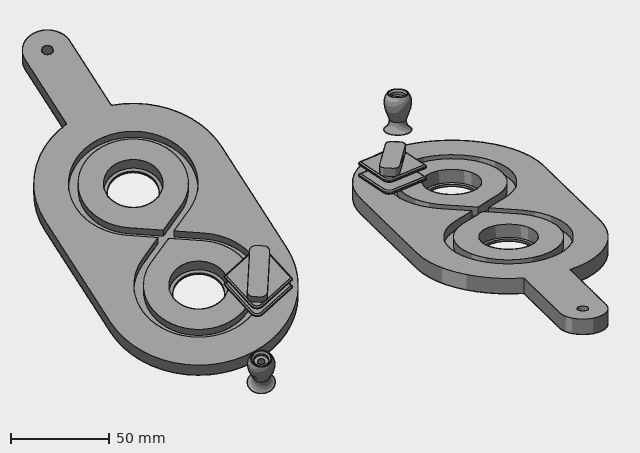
import cadquery as cq
import math

board_width = 101.5
board_thickness = 8.7
loop_spacing = 72.5
loop_x = loop_spacing / 2
handle_width = 25.7
handle_hole_x = -131.2
handle_hole_diameter = 6.0

upper_hole_diameter = 30.3
lower_hole_diameter = 26.5
ledge_thickness = 1.3

groove_radius = 30.5
groove_width = 5.0
groove_depth = 5.1

spool_x = 51.3
spool_y = 26.5
spool_angle = -30
plate_half_length = 19.3
plate_half_width = 17.5
plate_tip_radius = 3.9
plate_thickness = 2.3
plate_bevel = 0.8
plate_gap = 4.4
post_diameter = 8.0
upper_plate_z = plate_thickness + plate_gap
spool_height = upper_plate_z + plate_thickness

bar_length = 32.3
bar_width = 10.3
bar_height = 4.5
bar_corner_radius = 3.3
bar_hole_diameter = 2.3
bar_hole_mouth_diameter = 3.5
bar_hole_mouth_depth = (bar_hole_mouth_diameter - bar_hole_diameter) / 2

knob_x = 105.5
knob_height = 20.3
foot_diameter = 14.5
foot_waist_diameter = 10.3
foot_waist_z = 2.3
neck_diameter = 8.7
neck_z = 5.1
neck_height = 0.8
shoulder_diameter = 11.3
shoulder_z = 9.2
belly_diameter = 14.0
belly_z = 16.0
knob_top_diameter = 10.8
knob_mouth_diameter = 9.8
knob_mouth_depth = 1.0
knob_recess_diameter = 7.7
knob_recess_depth = 2.5
knob_bore_diameter = 3.9


def cylinders(points, diameter, start_z):
    """Cylinders at the points, from start_z up to the top of the board."""
    plane = cq.Workplane("XY").workplane(offset=start_z)
    return plane.pushPoints(points).circle(diameter / 2).extrude(board_thickness - start_z)


def teardrop(side, radius):
    """Groove-deep teardrop round one loop centre: an arc and the two tangents that meet on the X axis."""
    center_x = side * loop_x
    tip_x = center_x - center_x * radius / groove_radius
    tangent_angle = math.acos(groove_radius / loop_x)
    tangent_x = center_x - side * radius * math.cos(tangent_angle)
    tangent_y = radius * math.sin(tangent_angle)
    return (
        cq.Workplane("XY")
        .workplane(offset=board_thickness - groove_depth)
        .moveTo(tip_x, 0)
        .lineTo(tangent_x, tangent_y)
        .threePointArc((center_x + side * radius, 0), (tangent_x, -tangent_y))
        .close()
        .extrude(groove_depth)
    )


def make_groove():
    """Figure-eight groove: two crossing teardrops around two smaller islands."""
    outer_radius = groove_radius + groove_width / 2
    island_radius = groove_radius - groove_width / 2
    groove = teardrop(-1, outer_radius).union(teardrop(1, outer_radius))
    for side in (-1, 1):
        groove = groove.cut(teardrop(side, island_radius))
    return groove


def make_board():
    body = cq.Workplane("XY").slot2D(loop_spacing + board_width, board_width).extrude(board_thickness)
    handle = (
        cq.Workplane("XY")
        .center(handle_hole_x / 2, 0)
        .slot2D(abs(handle_hole_x) + handle_width, handle_width)
        .extrude(board_thickness)
    )
    loop_centers = [(-loop_x, 0), (loop_x, 0)]
    return (
        body.union(handle)
        .cut(make_groove())
        .cut(cylinders(loop_centers, lower_hole_diameter, 0))
        .cut(cylinders(loop_centers, upper_hole_diameter, ledge_thickness))
        .cut(cylinders([(handle_hole_x, 0)], handle_hole_diameter, 0))
    )


def make_plate(base_z):
    """Diamond plate whose straight edges run from the side corners, tangent to the tip arcs."""
    tip_center = plate_half_length - plate_tip_radius
    corner_to_center = math.hypot(tip_center, plate_half_width)
    normal_angle = math.atan2(tip_center, plate_half_width) + math.asin(plate_tip_radius / corner_to_center)
    tangent_x = tip_center + plate_tip_radius * math.cos(normal_angle)
    tangent_y = plate_tip_radius * math.sin(normal_angle)
    return (
        cq.Workplane("XY")
        .workplane(offset=base_z)
        .moveTo(0, plate_half_width)
        .lineTo(tangent_x, tangent_y)
        .threePointArc((plate_half_length, 0), (tangent_x, -tangent_y))
        .lineTo(0, -plate_half_width)
        .lineTo(-tangent_x, -tangent_y)
        .threePointArc((-plate_half_length, 0), (-tangent_x, tangent_y))
        .close()
        .extrude(plate_thickness)
        .faces("<Z or >Z")
        .edges()
        .chamfer(plate_bevel)
    )


def place_on_board(body):
    """Turn a body modelled about the origin and set it on the board at the spool's position."""
    turned = body.rotate((0, 0, 0), (0, 0, 1), spool_angle)
    return turned.translate((spool_x, spool_y, board_thickness))


def make_spool():
    post = cq.Workplane("XY").circle(post_diameter / 2).extrude(spool_height)
    return place_on_board(post.union(make_plate(0)).union(make_plate(upper_plate_z)))


def make_bar():
    block = (
        cq.Workplane("XY")
        .workplane(offset=spool_height)
        .rect(bar_length, bar_width)
        .extrude(bar_height)
        .edges("|Z")
        .fillet(bar_corner_radius)
    )
    front_y = -bar_width / 2
    hole = (
        cq.Workplane("XY")
        .moveTo(0, front_y)
        .lineTo(bar_hole_mouth_diameter / 2, front_y)
        .lineTo(bar_hole_diameter / 2, front_y + bar_hole_mouth_depth)
        .lineTo(bar_hole_diameter / 2, bar_width / 2)
        .lineTo(0, bar_width / 2)
        .close()
        .revolve(360, (0, 0, 0), (0, 1, 0))
        .translate((0, 0, spool_height + bar_height / 2))
    )
    return place_on_board(block.cut(hole))


def make_knob():
    """Knob turned about its vertical axis."""
    neck_top_z = neck_z + neck_height
    body_curve = [
        (shoulder_diameter / 2, shoulder_z),
        (belly_diameter / 2, belly_z),
        (knob_top_diameter / 2, knob_height),
    ]
    return (
        cq.Workplane("XZ")
        .moveTo(knob_bore_diameter / 2, 0)
        .lineTo(foot_diameter / 2, 0)
        .threePointArc((foot_waist_diameter / 2, foot_waist_z), (neck_diameter / 2, neck_z))
        .lineTo(neck_diameter / 2, neck_top_z)
        .spline(body_curve, includeCurrent=True)
        .lineTo(knob_mouth_diameter / 2, knob_height)
        .lineTo(knob_recess_diameter / 2, knob_height - knob_mouth_depth)
        .lineTo(knob_recess_diameter / 2, knob_height - knob_recess_depth)
        .lineTo(knob_bore_diameter / 2, knob_height - knob_recess_depth)
        .close()
        .revolve(360, (0, 0, 0), (0, 1, 0))
        .translate((knob_x, 0, board_thickness))
    )


board = make_board()
spool = make_spool()
bar = make_bar()
knob = make_knob()

result = cq.Compound.makeCompound([board.val(), spool.val(), bar.val(), knob.val()])